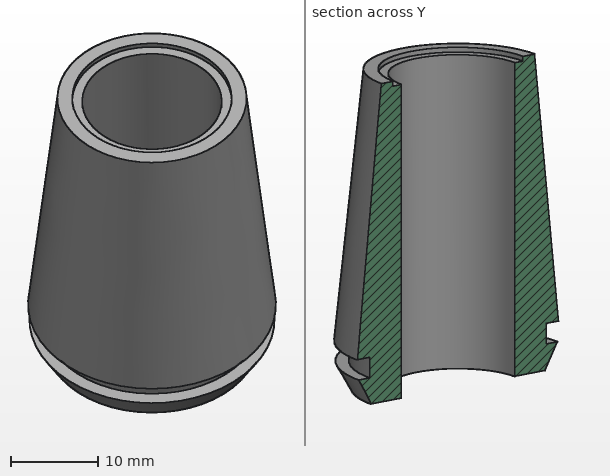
import cadquery as cq

height = 38.0
flange_height = 3.2
groove_width = 2.4
sleeve_bottom = flange_height + groove_width

bottom_radius = 12.3
flange_radius = 14.1
groove_radius = 12.55
sleeve_radius = 14.25
top_radius = 10.85

bore_radius = 8.0
counterbore_radius = 9.15
counterbore_depth = 0.57

profile = (
    cq.Workplane("XZ")
    .moveTo(bore_radius, 0)
    .lineTo(bottom_radius, 0)
    .lineTo(flange_radius, flange_height)
    .lineTo(groove_radius, flange_height)
    .lineTo(groove_radius, sleeve_bottom)
    .lineTo(sleeve_radius, sleeve_bottom)
    .lineTo(top_radius, height)
    .lineTo(counterbore_radius, height)
    .lineTo(counterbore_radius, height - counterbore_depth)
    .lineTo(bore_radius, height - counterbore_depth)
    .close()
)
result = profile.revolve(360, (0, 0, 0), (0, 1, 0))